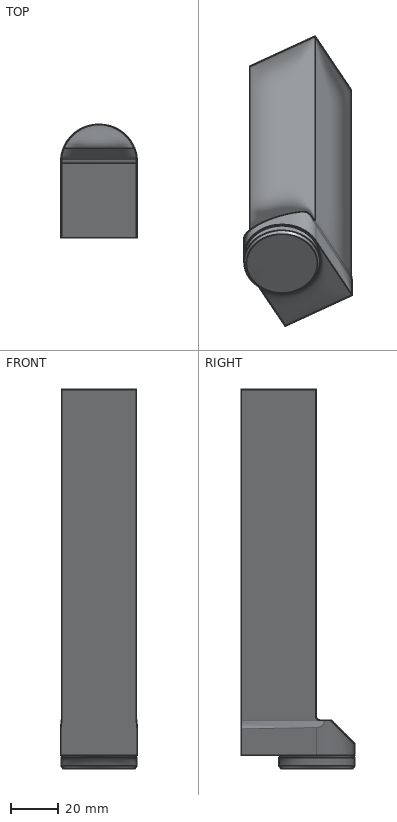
import cadquery as cq
import math

SHANK_SIDE = 31.6
TOTAL_LENGTH = 160.12

HEAD_WIDTH = 32.3
NOSE_RADIUS = HEAD_WIDTH / 2
NOSE_TIP_Y = 47.9
NOSE_CENTRE_Y = NOSE_TIP_Y - NOSE_RADIUS
HEAD_BOTTOM = 5.75
HEAD_TOP = 20.65
NOSE_BEVEL = 10.1
ROOT_FILLET = 1.5

SIDE_BEVEL_FRONT_DROP = 3.6
SIDE_BEVEL_NOSE_DROP = 2.8

INSERT_RADIUS = 32 / 2
INSERT_CENTRE_Y = NOSE_TIP_Y - INSERT_RADIUS
INSERT_EDGE_HEIGHT = 1.35
INSERT_FACE_RADIUS = 15.0
INSERT_TOP = 4.7
SEAT_FOOT_RADIUS = 15.2


def make_head():
    """Round-nosed block with a 45 degree bevel on the upper nose edge."""
    head = (
        cq.Workplane("XY", origin=(0, 0, HEAD_BOTTOM))
        .moveTo(-NOSE_RADIUS, 0)
        .lineTo(NOSE_RADIUS, 0)
        .lineTo(NOSE_RADIUS, NOSE_CENTRE_Y)
        .threePointArc((0, NOSE_TIP_Y), (-NOSE_RADIUS, NOSE_CENTRE_Y))
        .close()
        .extrude(HEAD_TOP - HEAD_BOTTOM)
    )
    bevel = (
        cq.Workplane("YZ")
        .moveTo(NOSE_TIP_Y - NOSE_BEVEL, HEAD_TOP)
        .lineTo(NOSE_TIP_Y, HEAD_TOP - NOSE_BEVEL)
        .lineTo(NOSE_TIP_Y, HEAD_TOP)
        .close()
        .extrude(HEAD_WIDTH / 2, both=True)
    )
    return head.cut(bevel)


def make_side_bevel():
    """Concave wedge to remove on the +X side; its height shrinks from the front to the nose."""

    def section(y, drop):
        top_inner = cq.Vector(SHANK_SIDE / 2, y, HEAD_TOP)
        top_outer = cq.Vector(HEAD_WIDTH / 2, y, HEAD_TOP)
        foot = cq.Vector(HEAD_WIDTH / 2, y, HEAD_TOP - drop)
        down = cq.Vector(0, 0, -1)
        return cq.Wire.assembleEdges(
            [
                cq.Edge.makeTangentArc(top_inner, down, foot),
                cq.Edge.makeLine(foot, top_outer),
                cq.Edge.makeLine(top_outer, top_inner),
            ]
        )

    sections = [
        section(0, SIDE_BEVEL_FRONT_DROP),
        section(NOSE_TIP_Y, SIDE_BEVEL_NOSE_DROP),
    ]
    return cq.Workplane(cq.Solid.makeLoft(sections, True))


def make_shank():
    """Square bar that stands on the head bottom and runs to the top."""
    return (
        cq.Workplane("XY", origin=(0, SHANK_SIDE / 2, HEAD_BOTTOM))
        .rect(SHANK_SIDE, SHANK_SIDE)
        .extrude(TOTAL_LENGTH - HEAD_BOTTOM)
    )


def make_root_fillet():
    """Concave fillet strip along the foot of the shank back."""
    mid = ROOT_FILLET * (1 - math.sqrt(0.5))
    return (
        cq.Workplane("YZ")
        .moveTo(SHANK_SIDE, HEAD_TOP)
        .lineTo(SHANK_SIDE + ROOT_FILLET, HEAD_TOP)
        .threePointArc((SHANK_SIDE + mid, HEAD_TOP + mid), (SHANK_SIDE, HEAD_TOP + ROOT_FILLET))
        .close()
        .extrude(SHANK_SIDE / 2, both=True)
    )


def make_insert():
    """Insert and the flared seat above it, turned about the insert axis."""
    return (
        cq.Workplane("XZ", origin=(0, INSERT_CENTRE_Y, 0))
        .lineTo(INSERT_FACE_RADIUS, 0)
        .lineTo(INSERT_RADIUS, INSERT_EDGE_HEIGHT)
        .lineTo(INSERT_RADIUS, INSERT_TOP)
        .lineTo(SEAT_FOOT_RADIUS, INSERT_TOP)
        .lineTo(INSERT_RADIUS, HEAD_BOTTOM)
        .lineTo(0, HEAD_BOTTOM)
        .close()
        .revolve(360, (0, 0), (0, 1))
    )


side_bevel = make_side_bevel()
head = make_head().cut(side_bevel).cut(side_bevel.mirror("YZ"))
result = head.union(make_shank()).union(make_root_fillet()).union(make_insert())